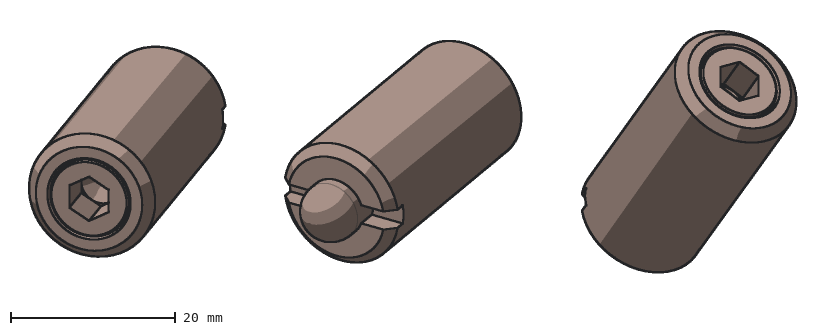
import cadquery as cq
import math

total_length = 36.98
body_diameter = 16.0
pin_diameter = 7.5
pin_projection = 5.0
edge_chamfer = 1.25

slot_width = 2.5
slot_depth = 2.5

groove_outer_radius = 5.3
groove_bottom_radius = 5.0
groove_inner_radius = 4.77
groove_depth = 0.25

socket_flats = 5.0
socket_depth = 5.0
drill_point_angle = 120

body_radius = body_diameter / 2
pin_radius = pin_diameter / 2
socket_radius = socket_flats / 2
rear_y = -total_length / 2
tip_y = total_length / 2
shoulder_y = tip_y - pin_projection
slot_floor_y = shoulder_y - slot_depth


def revolve_about_y(profile):
    """Revolve a closed (radius, y) profile about the part axis."""
    return profile.close().revolve(360, (0, 0, 0), (0, 1, 0))


def make_body():
    chamfered_radius = body_radius - edge_chamfer
    return revolve_about_y(
        cq.Workplane("XY")
        .moveTo(0, rear_y)
        .lineTo(chamfered_radius, rear_y)
        .lineTo(body_radius, rear_y + edge_chamfer)
        .lineTo(body_radius, shoulder_y - edge_chamfer)
        .lineTo(chamfered_radius, shoulder_y)
        .lineTo(0, shoulder_y)
    )


def make_slot():
    return cq.Workplane("XY").box(body_diameter, slot_depth, slot_width).translate(
        (0, slot_floor_y + slot_depth / 2, 0)
    )


def make_pin():
    """Round pin rising from the slot floor to a hemispherical tip."""
    dome_y = tip_y - pin_radius
    dome_offset = pin_radius * math.sqrt(0.5)
    return revolve_about_y(
        cq.Workplane("XY")
        .moveTo(0, slot_floor_y)
        .lineTo(pin_radius, slot_floor_y)
        .lineTo(pin_radius, dome_y)
        .threePointArc((dome_offset, dome_y + dome_offset), (0, tip_y))
    )


def make_ring_groove():
    return revolve_about_y(
        cq.Workplane("XY")
        .moveTo(groove_inner_radius, rear_y)
        .lineTo(groove_outer_radius, rear_y)
        .lineTo(groove_bottom_radius, rear_y + groove_depth)
    )


def make_socket():
    """Hexagonal recess, two of its flats facing +X and -X, with a conical bottom."""
    socket_floor_y = rear_y + socket_depth
    cone_depth = socket_radius / math.tan(math.radians(drill_point_angle / 2))
    hexagon = (
        cq.Workplane("XZ", origin=(0, rear_y, 0))
        .polygon(6, socket_flats, circumscribed=True)
        .extrude(-socket_depth)
    )
    drill_point = revolve_about_y(
        cq.Workplane("XY")
        .moveTo(0, socket_floor_y)
        .lineTo(socket_radius, socket_floor_y)
        .lineTo(0, socket_floor_y + cone_depth)
    )
    return hexagon.union(drill_point)


result = (
    make_body()
    .cut(make_slot())
    .union(make_pin())
    .cut(make_ring_groove())
    .cut(make_socket())
)